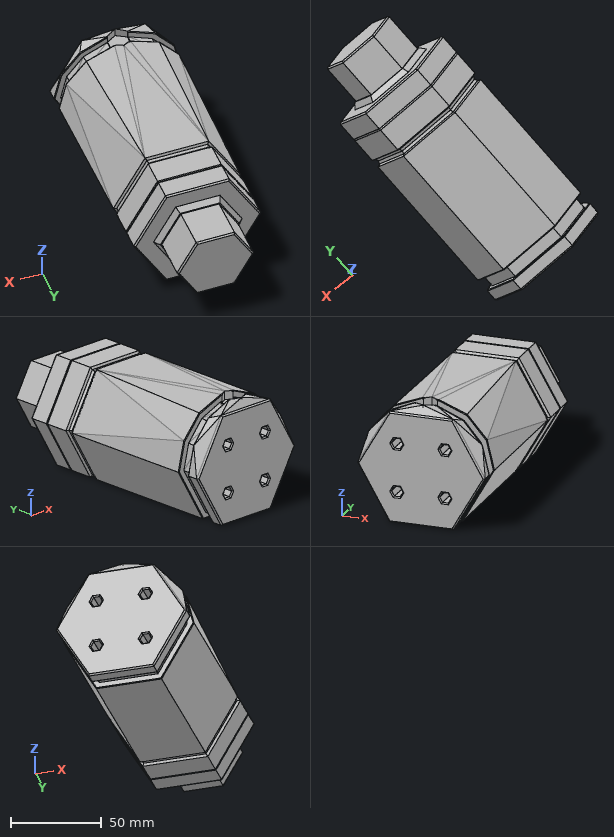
import cadquery as cq
import math

LENGTH = 160.0
OUTER_RADIUS = 37.52
SIDES = 6
TOLERANCE = 1.6e-06

END_CHAMFER = 1.0
NECK_CHAMFER = 0.5

FLANGE_BACK = 7.8
NECK_RADIUS = 33.6
BODY_FRONT = 15.0

GROOVE_CENTRE = 102.0
GROOVE_RADIUS = 2.4

SEAM_WIDTH = 1.0
SEAM_DEPTH = 0.5
SEAM_BACK = 119.8
SEAM_FRONT = SEAM_BACK - SEAM_WIDTH

DISC_BACK = 132.0
CONE_BACK = 135.4
CONE_FRONT_RADIUS = 26.0
CONE_BACK_RADIUS = 23.4
BOSS_RADIUS = 22.5

HOLE_CIRCLE_RADIUS = 20.0
HOLE_COUNT = 4
HOLE_RADIUS = 3.4
HOLE_MOUTH_RADIUS = 4.2
HOLE_DEPTH = 12.8
DRILL_POINT_ANGLE = 118.0
DRILL_POINT_LENGTH = HOLE_RADIUS / math.tan(math.radians(DRILL_POINT_ANGLE / 2))

RECESS_Y = 10.5
RECESS_RADIUS = 6.9
RECESS_FLOOR = 32.3

SHOULDER_FACETS = 3


def on_circle(radius, angle, y):
    """Point on a circle around the Y axis, measured from +X toward +Z."""
    return cq.Vector(radius * math.cos(angle), y, radius * math.sin(angle))


def hexagon(radius, y):
    """Corners of a hexagon across the Y axis, with corners on +X and -X."""
    return [on_circle(radius, 2 * math.pi * i / SIDES, y) for i in range(SIDES)]


def shouldered_hexagon(radius, y):
    """Hexagon whose upper half is split into smaller facets up to the recess edge."""
    half_width = math.sqrt(RECESS_RADIUS**2 - (y - RECESS_Y) ** 2)
    step = math.acos(half_width / radius) / SHOULDER_FACETS
    right = [on_circle(radius, i * step, y) for i in range(SHOULDER_FACETS + 1)]
    left = [cq.Vector(-p.x, p.y, p.z) for p in right]
    lower = [p for p in hexagon(radius, y) if p.z < -TOLERANCE]
    return right + left + lower


def ordered_face(corners, normal):
    """Flat convex face through the corners, sorted around their centre."""
    centre = sum(corners, cq.Vector()) / len(corners)
    across = (corners[0] - centre).normalized()
    along = normal.cross(across)

    def turn(point):
        return math.atan2((point - centre).dot(along), (point - centre).dot(across))

    return cq.Face.makeFromWires(cq.Wire.makePolygon(sorted(corners, key=turn), close=True))


def convex_solid(points):
    """Convex solid wrapped around the points: every plane with all of them on one side is a face."""
    faces = {}
    count = len(points)
    for i in range(count):
        for j in range(i + 1, count):
            for k in range(j + 1, count):
                normal = (points[j] - points[i]).cross(points[k] - points[i])
                if normal.Length < TOLERANCE:
                    continue
                normal = normal.normalized()
                heights = [(p - points[i]).dot(normal) for p in points]
                if min(heights) < -TOLERANCE and max(heights) > TOLERANCE:
                    continue
                members = frozenset(n for n, h in enumerate(heights) if abs(h) < TOLERANCE)
                faces[members] = normal
    flat_faces = [ordered_face([points[n] for n in sorted(m)], normal) for m, normal in faces.items()]
    return cq.Workplane(obj=cq.Solid.makeSolid(cq.Shell.makeShell(flat_faces)))


def joined(pieces):
    """One solid from pieces that meet face to face."""
    whole = pieces[0]
    for piece in pieces[1:]:
        whole = whole.union(piece)
    return whole.clean()


def hexagonal_turning(profile):
    """Stack of hexagonal frusta through (radius, y) stations; equal y makes a flat step."""
    pieces = []
    for (radius_a, y_a), (radius_b, y_b) in zip(profile, profile[1:]):
        if y_b > y_a:
            pieces.append(convex_solid(hexagon(radius_a, y_a) + hexagon(radius_b, y_b)))
    return joined(pieces)


def groove_side(direction):
    """Quarter of the groove from its bottom to the outside, in two chords."""
    stations = []
    for degrees in (0, 45, 90):
        angle = math.radians(degrees)
        radius = OUTER_RADIUS - GROOVE_RADIUS * math.cos(angle)
        stations.append((radius, GROOVE_CENTRE + direction * GROOVE_RADIUS * math.sin(angle)))
    return stations


def recess_tool():
    """Upright hexagonal prism with corners toward the front and back."""
    angles = [2 * math.pi * i / SIDES for i in range(SIDES)]
    outline = [(RECESS_RADIUS * math.sin(a), RECESS_Y + RECESS_RADIUS * math.cos(a)) for a in angles]
    return cq.Workplane("XY", origin=(0, 0, RECESS_FLOOR)).polyline(outline).close().extrude(OUTER_RADIUS)


def tapped_hole(angle):
    """Bevelled six-sided hole with a pointed bottom, at an angle on the hole circle."""
    mouth_depth = HOLE_MOUTH_RADIUS - HOLE_RADIUS
    tip = cq.Vector(0, HOLE_DEPTH + DRILL_POINT_LENGTH, 0)
    bore = hexagonal_turning([(HOLE_MOUTH_RADIUS, 0), (HOLE_RADIUS, mouth_depth), (HOLE_RADIUS, HOLE_DEPTH)])
    point = convex_solid(hexagon(HOLE_RADIUS, HOLE_DEPTH) + [tip])
    return bore.union(point).translate(on_circle(HOLE_CIRCLE_RADIUS, angle, 0))


def make_housing():
    """Front flange, neck and body, with the recess on top and the tapped holes in front."""
    chamfered = OUTER_RADIUS - NECK_CHAMFER
    flange_edge = FLANGE_BACK - NECK_CHAMFER
    body_edge = BODY_FRONT + NECK_CHAMFER
    recess_front = cq.Vector(0, RECESS_Y - RECESS_RADIUS, OUTER_RADIUS)
    recess_back = cq.Vector(0, RECESS_Y + RECESS_RADIUS, OUTER_RADIUS)
    groove = groove_side(-1)[::-1]
    groove_front = groove[0][1]

    flange_ring = shouldered_hexagon(OUTER_RADIUS, flange_edge)
    flange_back_ring = shouldered_hexagon(chamfered, FLANGE_BACK)
    neck_front_ring = shouldered_hexagon(NECK_RADIUS, FLANGE_BACK)
    neck_back_ring = shouldered_hexagon(NECK_RADIUS, BODY_FRONT)
    body_front_ring = shouldered_hexagon(chamfered, BODY_FRONT)
    body_ring = shouldered_hexagon(OUTER_RADIUS, body_edge)

    front_bevel = hexagonal_turning([(OUTER_RADIUS - END_CHAMFER, 0), (OUTER_RADIUS, END_CHAMFER)])
    flange = convex_solid(hexagon(OUTER_RADIUS, END_CHAMFER) + [recess_front] + flange_ring)
    flange_bevel = convex_solid(flange_ring + flange_back_ring)
    neck = convex_solid(neck_front_ring + neck_back_ring)
    body_bevel = convex_solid(body_front_ring + body_ring)
    body = convex_solid(body_ring + [recess_back] + hexagon(OUTER_RADIUS, groove_front))
    groove_half = hexagonal_turning(groove)

    housing = joined([front_bevel, flange, flange_bevel, neck, body_bevel, body, groove_half])
    housing = housing.cut(recess_tool())
    for i in range(HOLE_COUNT):
        housing = housing.cut(tapped_hole(2 * math.pi * (i + 0.5) / HOLE_COUNT))
    return housing


def make_coupling_ring():
    bevelled_back = [(OUTER_RADIUS, SEAM_FRONT), (OUTER_RADIUS - SEAM_DEPTH, SEAM_BACK)]
    return hexagonal_turning(groove_side(1) + bevelled_back)


def make_rear_cap():
    return hexagonal_turning([
        (OUTER_RADIUS, SEAM_BACK),
        (OUTER_RADIUS, DISC_BACK - END_CHAMFER),
        (OUTER_RADIUS - END_CHAMFER, DISC_BACK),
        (CONE_FRONT_RADIUS, DISC_BACK),
        (CONE_BACK_RADIUS, CONE_BACK),
        (BOSS_RADIUS, CONE_BACK),
        (BOSS_RADIUS, LENGTH - END_CHAMFER),
        (BOSS_RADIUS - END_CHAMFER, LENGTH),
    ])


housing = make_housing()
coupling_ring = make_coupling_ring()
rear_cap = make_rear_cap()

result = cq.Compound.makeCompound([housing.val(), coupling_ring.val(), rear_cap.val()])